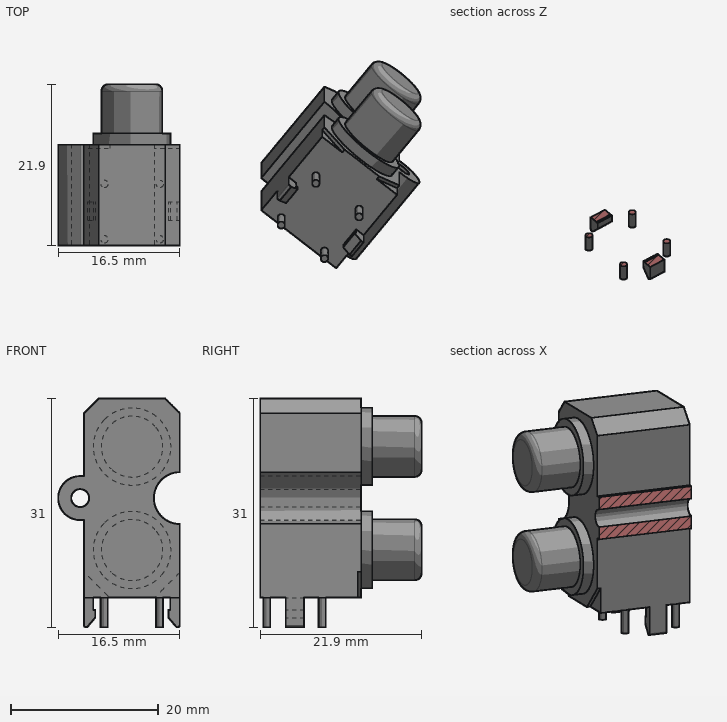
import cadquery as cq

BODY_WIDTH = 13.0
BODY_DEPTH = 13.7
BODY_HEIGHT = 27.0
TOP_CHAMFER = 2.0

BOSS_RADIUS = 3.0
BOSS_OFFSET = 0.5
BOSS_Z = 13.5
SCREW_HOLE_DIAMETER = 2.4
RELIEF_RADIUS = BOSS_RADIUS + 0.5

JACK_Z_LOWER = 6.5
JACK_SPACING = 14.0
FLANGE_DIAMETER = 10.5
FLANGE_LENGTH = 1.5
BARREL_DIAMETER = 8.3
BARREL_LENGTH = 6.7
BARREL_FILLET = 1.0

CORNER_RECESS_LEG = 3.5
CORNER_RECESS_DEPTH = 0.5

LEG_LENGTH = 4.0
PIN_DIAMETER = 1.0
PIN_SPACING = 7.5
PIN_FRONT_Y = 0.9
CLIP_DEPTH = 2.5
CLIP_CENTER_Y = 4.7
CLIP_THICKNESS = 1.3
CLIP_BARB = 0.25
BARB_TOP = 1.65
BARB_BOTTOM = 2.7
CLIP_TIP_RADIUS = 0.3
CLIP_TIP_WIDTH = 0.45

HALF_WIDTH = BODY_WIDTH / 2
BOSS_X = -HALF_WIDTH - BOSS_OFFSET
PIN_CENTER_Y = PIN_FRONT_Y + PIN_SPACING / 2


def extrude_back(sketch, start_y, length):
    """Extrude an XZ sketch toward +Y, starting at start_y."""
    return sketch.extrude(-length).translate((0, start_y, 0))


def make_housing():
    block = extrude_back(
        cq.Workplane("XZ").center(0, BODY_HEIGHT / 2).rect(BODY_WIDTH, BODY_HEIGHT), 0, BODY_DEPTH
    )
    return block.edges("|Y and >Z").chamfer(TOP_CHAMFER)


def make_boss():
    """Round boss whose upper side runs flat from its crown into the housing wall."""
    round_part = extrude_back(cq.Workplane("XZ").center(BOSS_X, BOSS_Z).circle(BOSS_RADIUS), 0, BODY_DEPTH)
    web = cq.Workplane("XY").box(BOSS_OFFSET, BODY_DEPTH, BOSS_RADIUS, centered=False)
    return round_part.union(web.translate((BOSS_X, 0, BOSS_Z)))


def make_screw_hole():
    circle = cq.Workplane("XZ").center(BOSS_X, BOSS_Z).circle(SCREW_HOLE_DIAMETER / 2)
    return extrude_back(circle, 0, BODY_DEPTH)


def make_relief():
    return extrude_back(cq.Workplane("XZ").center(HALF_WIDTH, BOSS_Z).circle(RELIEF_RADIUS), 0, BODY_DEPTH)


def make_corner_recess(side):
    corner_x = side * HALF_WIDTH
    triangle = (
        cq.Workplane("XZ")
        .moveTo(corner_x, 0)
        .lineTo(corner_x, CORNER_RECESS_LEG)
        .lineTo(corner_x - side * CORNER_RECESS_LEG, 0)
        .close()
    )
    return extrude_back(triangle, BODY_DEPTH - CORNER_RECESS_DEPTH, CORNER_RECESS_DEPTH)


def make_jack(z):
    flange = extrude_back(cq.Workplane("XZ").circle(FLANGE_DIAMETER / 2), BODY_DEPTH, FLANGE_LENGTH)
    barrel = extrude_back(
        cq.Workplane("XZ").circle(BARREL_DIAMETER / 2), BODY_DEPTH + FLANGE_LENGTH, BARREL_LENGTH
    )
    barrel = barrel.faces(">Y").edges().fillet(BARREL_FILLET)
    return flange.union(barrel).translate((0, 0, z))


def make_pins():
    return (
        cq.Workplane("XY")
        .center(0, PIN_CENTER_Y)
        .rarray(PIN_SPACING, PIN_SPACING, 2, 2)
        .circle(PIN_DIAMETER / 2)
        .extrude(-LEG_LENGTH)
    )


def make_clip(side):
    """Snap clip flush with one side wall, its barb pointing to the middle."""

    def point(inward, down):
        return (side * (HALF_WIDTH - inward), -down)

    profile = (
        cq.Workplane("XZ")
        .moveTo(*point(0, 0))
        .lineTo(*point(CLIP_THICKNESS, 0))
        .lineTo(*point(CLIP_THICKNESS, BARB_TOP))
        .lineTo(*point(CLIP_THICKNESS + CLIP_BARB, BARB_TOP))
        .lineTo(*point(CLIP_THICKNESS + CLIP_BARB, BARB_BOTTOM))
        .lineTo(*point(CLIP_TIP_WIDTH, LEG_LENGTH))
        .lineTo(*point(CLIP_TIP_RADIUS, LEG_LENGTH))
        .radiusArc(point(0, LEG_LENGTH - CLIP_TIP_RADIUS), -side * CLIP_TIP_RADIUS)
        .close()
    )
    return extrude_back(profile, CLIP_CENTER_Y - CLIP_DEPTH / 2, CLIP_DEPTH)


body = make_housing().union(make_boss()).cut(make_screw_hole()).cut(make_relief())

for side in (-1, 1):
    body = body.cut(make_corner_recess(side)).union(make_clip(side))

for jack_z in (JACK_Z_LOWER, JACK_Z_LOWER + JACK_SPACING):
    body = body.union(make_jack(jack_z))

result = body.union(make_pins())